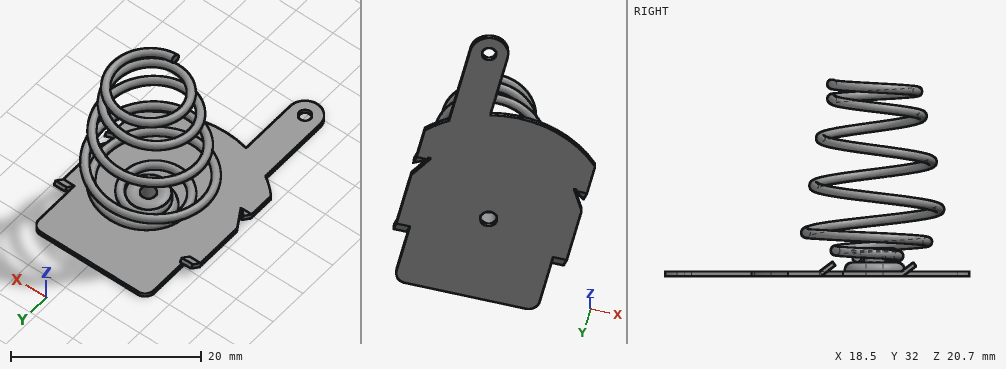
import cadquery as cq
import math


PLATE_THICKNESS = 0.5
HALF_WIDTH = 9.25
NECKED_HALF_WIDTH = 7.78
OVERALL_LENGTH = 32.0
REAR_Y = 9.95
REAR_CORNER_RADIUS = 1.2
FRONT_RADIUS = 13.0
SHOULDER_Y = -math.sqrt(FRONT_RADIUS**2 - HALF_WIDTH**2)
NOTCH_START_Y = -3.35

LUG_CENTER_X = -5.05
LUG_WIDTH = 4.03
LUG_END_Y = REAR_Y - OVERALL_LENGTH
LUG_CENTER_Y = LUG_END_Y + LUG_WIDTH / 2
LUG_HOLE_DIAMETER = 1.5

BEND_ANGLE = 37
SQUARE_FOLD_Y = 2.8
SQUARE_TAB_LENGTH = 1.6
BARB_FOLD_Y = -5.82
BARB_LENGTH = 1.73
BARB_WIDTH = 1.2

BORE_RADIUS = 0.9
FLANGE_RADIUS = 3.17
FLANGE_TOP_RADIUS = 2.3
FLANGE_BAND = 0.13
FLANGE_TOP_Z = 1.47
NECK_RADIUS = 1.12
CROWN_RADIUS = 2.43
CROWN_UNDERSIDE_Z = 2.65
CROWN_BAND = 0.05
CROWN_PEAK_RADIUS = 1.65
CROWN_PEAK_Z = 3.0
CROWN_BORE_Z = 2.7

WIRE_RADIUS = 0.5
SPRING_STATIONS = [
    (-2, 1.85, 2.0),
    (-1.5, 2.5, 2.1),
    (-1, 4.13, 2.7),
    (-0.5, 5.55, 3.6),
    (0, 7.25, 4.58),
    (1, 6.4, 9.57),
    (2, 5.7, 14.55),
    (2.5, 5.0, 16.9),
    (3, 4.5, 18.7),
    (4, 4.5, 20.22),
]
POINTS_PER_TURN = 12


def on_front_arc(x):
    """Point of the plate's round front edge at the given x."""
    return x, -math.sqrt(FRONT_RADIUS**2 - x**2)


def make_flat_plate():
    lug_left = LUG_CENTER_X - LUG_WIDTH / 2
    lug_right = LUG_CENTER_X + LUG_WIDTH / 2
    plate = (
        cq.Workplane("XY")
        .moveTo(-NECKED_HALF_WIDTH, REAR_Y)
        .lineTo(NECKED_HALF_WIDTH, REAR_Y)
        .lineTo(NECKED_HALF_WIDTH, SQUARE_FOLD_Y)
        .lineTo(HALF_WIDTH, SQUARE_FOLD_Y)
        .lineTo(HALF_WIDTH, NOTCH_START_Y)
        .lineTo(NECKED_HALF_WIDTH, BARB_FOLD_Y)
        .lineTo(HALF_WIDTH, BARB_FOLD_Y)
        .lineTo(HALF_WIDTH, SHOULDER_Y)
        .threePointArc(on_front_arc(0), on_front_arc(lug_right))
        .lineTo(lug_right, LUG_CENTER_Y)
        .threePointArc((LUG_CENTER_X, LUG_END_Y), (lug_left, LUG_CENTER_Y))
        .lineTo(*on_front_arc(lug_left))
        .threePointArc(on_front_arc((lug_left - HALF_WIDTH) / 2), (-HALF_WIDTH, SHOULDER_Y))
        .lineTo(-HALF_WIDTH, BARB_FOLD_Y)
        .lineTo(-NECKED_HALF_WIDTH, BARB_FOLD_Y)
        .lineTo(-HALF_WIDTH, NOTCH_START_Y)
        .lineTo(-HALF_WIDTH, SQUARE_FOLD_Y)
        .lineTo(-NECKED_HALF_WIDTH, SQUARE_FOLD_Y)
        .close()
        .extrude(PLATE_THICKNESS)
    )
    rear_corners = plate.edges("|Z and >Y")
    plate = rear_corners.fillet(REAR_CORNER_RADIUS)
    lug_hole = (
        cq.Workplane("XY")
        .center(LUG_CENTER_X, LUG_CENTER_Y)
        .circle(LUG_HOLE_DIAMETER / 2)
        .extrude(PLATE_THICKNESS)
    )
    rivet_hole = cq.Workplane("XY").circle(BORE_RADIUS).extrude(PLATE_THICKNESS)
    return plate.cut(lug_hole).cut(rivet_hole)


def make_bent_tab(outline, fold_y):
    """Flat tab outline, measured from its fold, bent up about the plate's top surface.

    A wedge under the fold joins the tab's lower edge to the plate's edge.
    """
    fold_start = cq.Vector(0, fold_y, PLATE_THICKNESS)
    flap = (
        cq.Workplane("XY")
        .polyline(outline)
        .close()
        .extrude(-PLATE_THICKNESS)
        .rotate((0, 0, 0), (1, 0, 0), BEND_ANGLE)
        .translate(fold_start)
    )
    bend = math.radians(BEND_ANGLE)
    underside_reach = PLATE_THICKNESS * math.tan(bend / 2)
    wedge_corners = [
        (fold_y, PLATE_THICKNESS),
        (fold_y, 0),
        (fold_y + underside_reach, 0),
        (fold_y + PLATE_THICKNESS * math.sin(bend), PLATE_THICKNESS * (1 - math.cos(bend))),
    ]
    fold_xs = [x for x, y in outline if y == 0]
    wedge = (
        cq.Workplane("YZ", origin=(min(fold_xs), 0, 0))
        .polyline(wedge_corners)
        .close()
        .extrude(max(fold_xs) - min(fold_xs))
    )
    return flap.union(wedge)


def make_contact_plate():
    square_outline = [
        (NECKED_HALF_WIDTH, 0),
        (HALF_WIDTH, 0),
        (HALF_WIDTH, SQUARE_TAB_LENGTH),
        (NECKED_HALF_WIDTH, SQUARE_TAB_LENGTH),
    ]
    barb_outline = [
        (HALF_WIDTH - BARB_WIDTH, 0),
        (HALF_WIDTH, 0),
        (HALF_WIDTH, BARB_LENGTH),
    ]
    plate = make_flat_plate()
    for outline, fold_y in ((square_outline, SQUARE_FOLD_Y), (barb_outline, BARB_FOLD_Y)):
        tab = make_bent_tab(outline, fold_y)
        plate = plate.union(tab).union(tab.mirror("YZ"))
    return plate


def make_rivet():
    """Hollow rivet: domed flange on the plate, narrow neck and rolled-over crown."""
    flange_band_z = PLATE_THICKNESS + FLANGE_BAND
    crown_band_z = CROWN_UNDERSIDE_Z + CROWN_BAND
    half_profile = (
        cq.Workplane("XZ")
        .moveTo(BORE_RADIUS, PLATE_THICKNESS)
        .lineTo(FLANGE_RADIUS, PLATE_THICKNESS)
        .lineTo(FLANGE_RADIUS, flange_band_z)
        .tangentArcPoint((FLANGE_TOP_RADIUS, FLANGE_TOP_Z), relative=False)
        .lineTo(NECK_RADIUS, FLANGE_TOP_Z)
        .lineTo(NECK_RADIUS, CROWN_UNDERSIDE_Z)
        .lineTo(CROWN_RADIUS, CROWN_UNDERSIDE_Z)
        .lineTo(CROWN_RADIUS, crown_band_z)
        .spline(
            [(CROWN_PEAK_RADIUS, CROWN_PEAK_Z), (BORE_RADIUS, CROWN_BORE_Z)],
            includeCurrent=True,
        )
        .close()
    )
    return half_profile.revolve(360, (0, 0, 0), (0, 1, 0))


def coil_point(turn):
    """Wire centre at the given turn; whole turns lie on the -Y side."""
    for start, end in zip(SPRING_STATIONS, SPRING_STATIONS[1:]):
        if turn <= end[0]:
            break
    share = (turn - start[0]) / (end[0] - start[0])
    radius = start[1] + share * (end[1] - start[1])
    height = start[2] + share * (end[2] - start[2])
    angle = 2 * math.pi * turn
    return cq.Vector(-radius * math.sin(angle), -radius * math.cos(angle), height)


def make_spring():
    first_turn = SPRING_STATIONS[0][0]
    last_turn = SPRING_STATIONS[-1][0]
    steps = (last_turn - first_turn) * POINTS_PER_TURN
    points = [coil_point(first_turn + step / POINTS_PER_TURN) for step in range(steps + 1)]
    path = cq.Workplane("XY").add(cq.Edge.makeSpline(points)).toPending()
    end_plane = cq.Plane(origin=points[0].toTuple(), xDir=(0, 1, 0), normal=(-1, 0, 0))
    return cq.Workplane(end_plane).circle(WIRE_RADIUS).sweep(path, isFrenet=True)


contact_plate = make_contact_plate()
rivet = make_rivet()
spring = make_spring()

result = cq.Compound.makeCompound([contact_plate.solids().val(), rivet.val(), spring.val()])